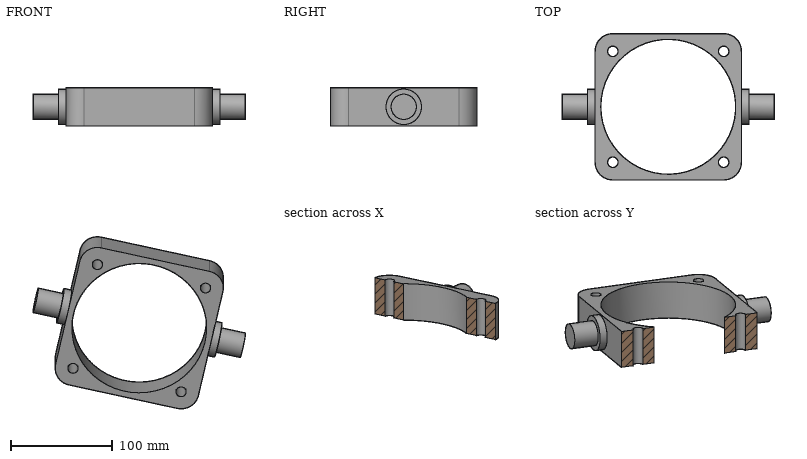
import cadquery as cq

overall_length = 210.0
frame_side = 145.0
frame_height = 38.0
corner_radius = 17.6
bore_diameter = 133.1
bolt_hole_diameter = 10.0
collar_diameter = 35.0
collar_length = 7.5
journal_diameter = 25.0

bolt_spacing = frame_side - 2 * corner_radius
trunnion_length = (overall_length - frame_side) / 2


def make_frame():
    """Square ring with rounded corners, a round bore and four bolt holes."""
    return (
        cq.Workplane("XY")
        .box(frame_side, frame_side, frame_height)
        .edges("|Z")
        .fillet(corner_radius)
        .faces(">Z")
        .workplane()
        .hole(bore_diameter)
        .faces(">Z")
        .workplane()
        .rect(bolt_spacing, bolt_spacing, forConstruction=True)
        .vertices()
        .hole(bolt_hole_diameter)
    )


def add_trunnion(body, side):
    """Add a collar and journal to the side face chosen by the selector."""
    face = body.faces(side).workplane(origin=(0, 0, 0))
    collar = face.circle(collar_diameter / 2).extrude(collar_length, combine=False)
    journal = face.circle(journal_diameter / 2).extrude(trunnion_length, combine=False)
    return body.union(collar).union(journal)


result = make_frame()
for side in ("<X", ">X"):
    result = add_trunnion(result, side)